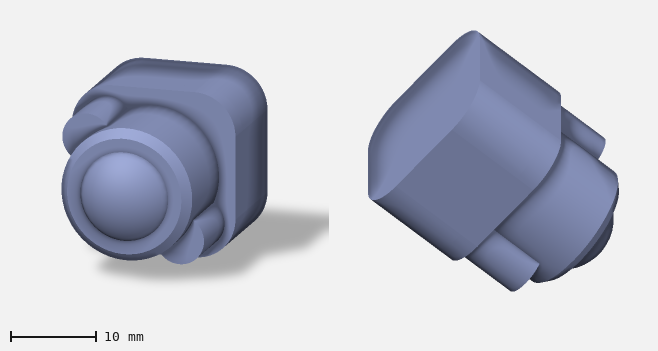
import cadquery as cq
import math


total_length = 27.3
body_side = 20.0
body_corner_radius = 5.0
housing_length = 10.0
cover_thickness = 2.5

tongue_width = 6.99
tongue_depth = 2.0
tongue_corner_radius = 1.0

barrel_radius = 8.0
barrel_length = 11.5
barrel_chamfer = 1.0

ball_radius = 6.0

pin_radius = 3.0
pin_length = 8.0
pin_angles = (135, 315)

cover_front = housing_length + cover_thickness
ball_centre = total_length - ball_radius


def section_at(distance):
    """XZ workplane facing -Y, the given distance in front of the housing back."""
    return cq.Workplane("XZ", origin=(0, -distance, 0))


def rounded_block(start, length):
    """Square block with rounded corners, shared by the housing and the cover."""
    return (
        section_at(start)
        .rect(body_side, body_side)
        .extrude(length)
        .edges("|Y")
        .fillet(body_corner_radius)
    )


def make_tongue():
    """Bar across the full width, rounded along its two rear edges."""
    return (
        section_at(housing_length - tongue_depth)
        .rect(body_side, tongue_width)
        .extrude(tongue_depth)
        .edges("|X and >Y")
        .fillet(tongue_corner_radius)
    )


def make_housing():
    """Rear block with a groove that receives the tongue of the cover."""
    return rounded_block(0, housing_length).cut(make_tongue())


def make_cover():
    """Front plate with its tongue."""
    return rounded_block(housing_length, cover_thickness).union(make_tongue())


def make_ball():
    """Ball that stands out of the front of the barrel."""
    return cq.Workplane("XY").sphere(ball_radius).translate((0, -ball_centre, 0))


def make_pin(angle):
    """Round pin whose axis lies on the outer surface of the barrel."""
    pin_x = barrel_radius * math.cos(math.radians(angle))
    pin_z = barrel_radius * math.sin(math.radians(angle))
    return section_at(cover_front).center(pin_x, pin_z).circle(pin_radius).extrude(pin_length)


def make_barrel(ball, pins):
    """Chamfered cylinder with a socket for the ball and a half-round seat for each pin."""
    barrel = (
        section_at(cover_front)
        .circle(barrel_radius)
        .extrude(barrel_length)
        .faces("<Y")
        .chamfer(barrel_chamfer)
        .cut(ball)
    )
    for pin in pins:
        barrel = barrel.cut(pin)
    return barrel


housing = make_housing()
cover = make_cover()
ball = make_ball()
pins = [make_pin(angle) for angle in pin_angles]
barrel = make_barrel(ball, pins)

result = cq.Compound.makeCompound(
    [housing.val(), cover.val(), barrel.val(), ball.val(), *[pin.val() for pin in pins]]
)